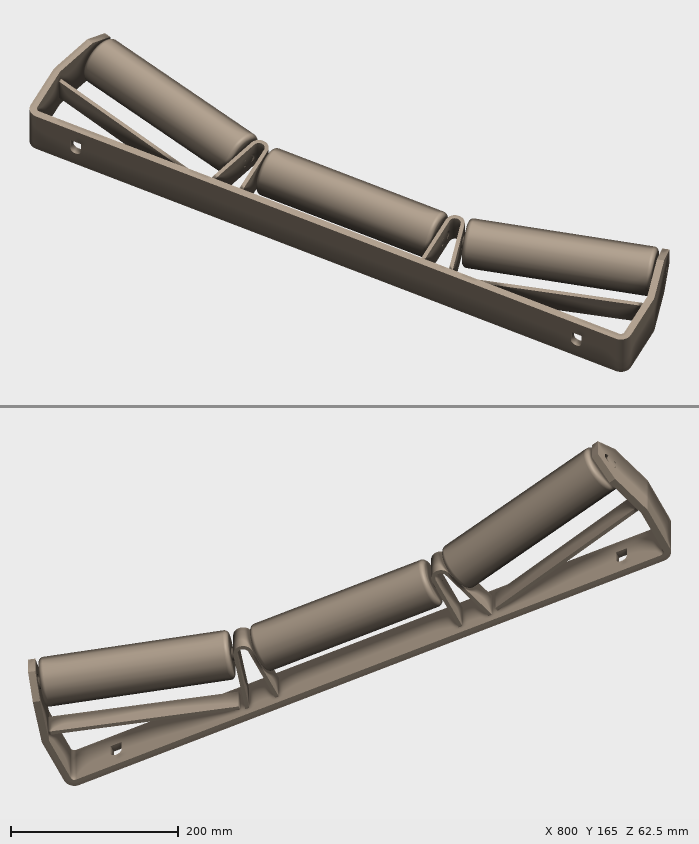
import cadquery as cq
import math

overall_length = 800.0
frame_width = 61.0
frame_thickness = 9.0
frame_inner_bend = 5.0
fold_height = 76.0
arm_tip_height = 165.0
tilt = 15.0
taper_length = 32.0
taper_depth = 18.0

mount_slot_width = 14.0
mount_slot_length = 22.0
mount_slot_spacing = 667.0

roller_diameter = 60.0
roller_length = 230.0
roller_edge_radius = 6.0
shaft_diameter = 15.0
shaft_flat_width = 12.0
support_span = 238.0
roller_drop = 2.0
middle_roller_height = 71.0
outer_roller_height = 107.0

shaft_slot_length = 20.0

bracket_thickness = 5.0
bracket_width = 38.0
bracket_arc_height = 83.0

strut_thickness = 5.0
strut_width = 30.0
strut_angle = 16.0
strut_top_height = 77.0
strut_end_x = 170.0

half_length = overall_length / 2
half_span = support_span / 2
frame_outer_bend = frame_inner_bend + frame_thickness
sin_tilt = math.sin(math.radians(tilt))
cos_tilt = math.cos(math.radians(tilt))
tan_tilt = math.tan(math.radians(tilt))

arm_face_distance = half_span + frame_thickness
outer_roller_x = (
    half_length - (arm_face_distance + (outer_roller_height - fold_height) * sin_tilt) / cos_tilt
)


def on_outer_roller(body):
    """Move a body from roller coordinates (X along the axis) to the left outer roller."""
    turned = body.rotate((0, 0, 0), (0, 0, 1), -tilt)
    return turned.translate((-outer_roller_x, outer_roller_height, -roller_drop))


def mirrored(body):
    return body.mirror("YZ")


def slot_outline(plane, length, width, flat_end):
    """Slot along the plane's local X: flat at X = flat_end, round at the far end."""
    half = width / 2
    round_centre = flat_end + length - half
    return (
        cq.Workplane(plane)
        .moveTo(flat_end, -half)
        .lineTo(round_centre, -half)
        .threePointArc((round_centre + half, 0), (round_centre, half))
        .lineTo(flat_end, half)
        .close()
    )


def shaft_slot(x_min, x_max):
    """Cutter in roller coordinates; its flat end touches the underside of the shaft."""
    outline = slot_outline("YZ", shaft_slot_length, shaft_flat_width, -shaft_diameter / 2)
    return outline.extrude(x_max - x_min).translate((x_min, 0, 0))


def arm_taper(tip, x_min, x_max):
    """Cutter in roller coordinates: wedges off the +Z and -Z corners of an arm ending at Y = tip."""
    half = frame_width / 2
    wedge = (
        cq.Workplane("YZ")
        .polyline([(tip - taper_length, half), (tip, half - taper_depth), (tip, half)])
        .close()
        .extrude(x_max - x_min)
        .translate((x_min, 0, 0))
    )
    return wedge.union(wedge.mirror("XY")).translate((0, 0, roller_drop))


def mount_slot():
    """Cutter for the left mounting slot; the plane's local X points down."""
    downward = cq.Plane(origin=(-mount_slot_spacing / 2, 0, 0), xDir=(0, 0, -1), normal=(0, 1, 0))
    return slot_outline(downward, mount_slot_length, mount_slot_width, -mount_slot_length / 2).extrude(
        frame_thickness
    )


def make_frame():
    t = frame_thickness
    lean = (arm_tip_height - fold_height) * tan_tilt
    outer_corner = (-half_length, 0)
    outer_fold = (-half_length, fold_height)
    outer_tip = (-half_length + lean, arm_tip_height)
    inner_tip = (outer_tip[0] + t * cos_tilt, outer_tip[1] - t * sin_tilt)
    inner_fold = (-half_length + t, fold_height - t * math.tan(math.radians(tilt / 2)))
    inner_corner = (-half_length + t, t)
    left = (
        cq.Workplane("XY")
        .polyline([(0, 0), outer_corner, outer_fold, outer_tip, inner_tip, inner_fold, inner_corner, (0, t)])
        .close()
        .extrude(frame_width / 2, both=True)
    )
    bends = [
        (outer_corner, frame_outer_bend),
        (outer_fold, frame_outer_bend),
        (inner_fold, frame_inner_bend),
        (inner_corner, frame_inner_bend),
    ]
    for (x, y), radius in bends:
        left = left.edges(cq.selectors.NearestToPointSelector((x, y, 0))).fillet(radius)

    tip = (outer_tip[0] + outer_roller_x) * sin_tilt + (outer_tip[1] - outer_roller_height) * cos_tilt
    left = left.cut(on_outer_roller(arm_taper(tip, -arm_face_distance, -half_span)))
    left = left.cut(on_outer_roller(shaft_slot(-arm_face_distance, -half_span)))

    left = left.cut(mount_slot())
    return left.union(mirrored(left))


def make_roller(left_support, right_support):
    """Roller along X; its shaft ends are flush with the far faces of supports this thick."""
    drum = (
        cq.Workplane("YZ", origin=(-roller_length / 2, 0, 0))
        .circle(roller_diameter / 2)
        .extrude(roller_length)
    )
    drum = drum.faces("<X or >X").edges().fillet(roller_edge_radius)
    roller = drum.union(cq.Workplane("YZ").circle(shaft_diameter / 2).extrude(half_span, both=True))
    for side, support in ((-1, left_support), (1, right_support)):
        flat_end = (
            cq.Workplane("YZ")
            .circle(shaft_diameter / 2)
            .extrude(side * (half_span + support))
            .intersect(cq.Workplane("XY").box(2 * overall_length, shaft_diameter, shaft_flat_width))
        )
        roller = roller.union(flat_end)
    return roller


def make_bracket():
    """Left bracket: a bent strip with one upright leg and one leg square to the outer roller."""
    t = bracket_thickness
    rise = bracket_arc_height - outer_roller_height
    radius = ((outer_roller_x - half_span) * cos_tilt - rise * sin_tilt - half_span) / (1 + cos_tilt)
    inner_radius = radius - t
    centre_x = -half_span - radius
    bend_end = 180 - tilt
    bend_middle = bend_end / 2

    def bend_point(r, degrees):
        angle = math.radians(degrees)
        return (centre_x + r * math.cos(angle), bracket_arc_height + r * math.sin(angle))

    def leaning_foot(r):
        x, y = bend_point(r, bend_end)
        return (x - (y - frame_thickness) * tan_tilt, frame_thickness)

    strip = (
        cq.Workplane("XY")
        .moveTo(-half_span, frame_thickness)
        .lineTo(*bend_point(radius, 0))
        .threePointArc(bend_point(radius, bend_middle), bend_point(radius, bend_end))
        .lineTo(*leaning_foot(radius))
        .lineTo(*leaning_foot(inner_radius))
        .lineTo(*bend_point(inner_radius, bend_end))
        .threePointArc(bend_point(inner_radius, bend_middle), bend_point(inner_radius, 0))
        .lineTo(-half_span - t, frame_thickness)
        .close()
        .extrude(bracket_width / 2, both=True)
    )
    upright_slot = shaft_slot(-half_span - t, -half_span).translate((0, middle_roller_height, -roller_drop))
    leaning_slot = on_outer_roller(shaft_slot(half_span, half_span + t))
    return strip.cut(upright_slot).cut(leaning_slot)


def make_strut():
    """Left strut: a slanted flat bar from the fold of the arm down to the base."""
    start_x = -half_length + frame_thickness
    slope = math.tan(math.radians(strut_angle))
    drop = strut_thickness / math.cos(math.radians(strut_angle))
    lower_run = (strut_top_height - drop - frame_thickness) / slope
    end_height = strut_top_height - (-strut_end_x - start_x) * slope
    return (
        cq.Workplane("XY")
        .polyline([
            (start_x, strut_top_height),
            (-strut_end_x, end_height),
            (-strut_end_x, frame_thickness),
            (start_x + lower_run, frame_thickness),
            (start_x, strut_top_height - drop),
        ])
        .close()
        .extrude(strut_width / 2, both=True)
    )


frame = make_frame()
bracket = make_bracket()
strut = make_strut().cut(frame)
middle_roller = make_roller(bracket_thickness, bracket_thickness)
middle_roller = middle_roller.translate((0, middle_roller_height, -roller_drop))
outer_roller = on_outer_roller(make_roller(frame_thickness, bracket_thickness))

result = cq.Compound.makeCompound([
    frame.val(),
    bracket.val(),
    mirrored(bracket).val(),
    strut.val(),
    mirrored(strut).val(),
    middle_roller.val(),
    outer_roller.val(),
    mirrored(outer_roller).val(),
])